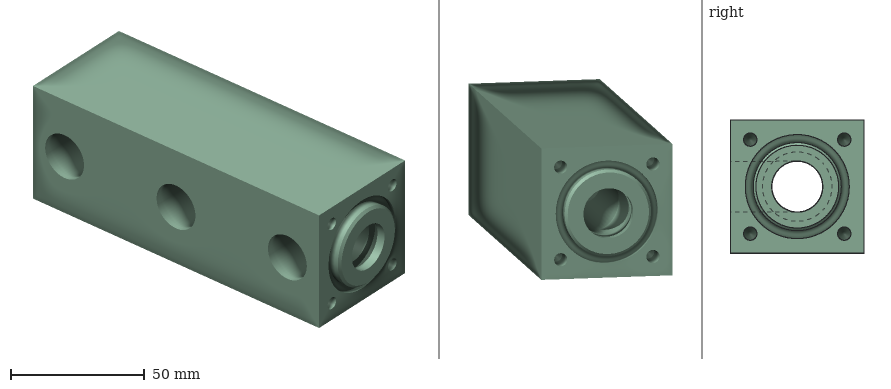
import cadquery as cq
import math

block_length = 140.0
block_side = 50.0

bore_diameter = 19.0
port_spacing = 54.5
port_count = 3

overall_length = 146.0
collar_diameter = 33.0
collar_chamfer = 1.0
recess_diameter = 39.0
recess_depth = 2.0

mouth_length = 3.5
chamber_end = 7.5
chamber_diameter = 26.0

screw_spacing = 35.2
screw_diameter = 5.0
screw_depth = 10.0
screw_point_angle = 118.0

half_overall = overall_length / 2
half_block = block_length / 2


def cylinder_along_x(x_start, x_end, diameter):
    """Solid cylinder on the X axis between two X positions."""
    return cq.Workplane("YZ", origin=(x_start, 0, 0)).circle(diameter / 2).extrude(x_end - x_start)


def make_block():
    return cq.Workplane("XY").box(block_length, block_side, block_side)


def make_collar():
    """Collar of the -X end, with its sloped outer rim, rising from the recess floor."""
    radius = collar_diameter / 2
    root_x = -half_block + recess_depth
    tip_x = -half_overall
    profile = (
        cq.Workplane("XY")
        .moveTo(root_x, 0)
        .lineTo(root_x, radius)
        .lineTo(tip_x + collar_chamfer, radius)
        .lineTo(tip_x, radius - collar_chamfer)
        .lineTo(tip_x, 0)
        .close()
    )
    return profile.revolve(360, (0, 0, 0), (1, 0, 0))


def make_recess():
    return cylinder_along_x(-half_block, -half_block + recess_depth, recess_diameter)


def make_chamber():
    return cylinder_along_x(-half_overall + mouth_length, -half_overall + chamber_end, chamber_diameter)


def make_screw_holes():
    """Four drilled holes of the -X end, each closed by the cone of the drill point."""
    radius = screw_diameter / 2
    point_length = radius / math.tan(math.radians(screw_point_angle / 2))
    shoulder_x = -half_block + screw_depth
    drill = (
        cq.Workplane("XY")
        .moveTo(-half_block, 0)
        .lineTo(-half_block, radius)
        .lineTo(shoulder_x, radius)
        .lineTo(shoulder_x + point_length, 0)
        .close()
        .revolve(360, (0, 0, 0), (1, 0, 0))
    )
    offset = screw_spacing / 2
    holes = cq.Workplane("XY")
    for y in (-offset, offset):
        for z in (-offset, offset):
            holes = holes.add(drill.translate((0, y, z)))
    return holes.combine()


def make_ports():
    """Ports running from the -Y face to the axis of the bore."""
    return (
        cq.Workplane("XZ")
        .rarray(port_spacing, 1, port_count, 1)
        .circle(bore_diameter / 2)
        .extrude(block_side / 2)
    )


def add_to_both_ends(body, feature):
    """Add a -X end feature and its mirror image on the +X end."""
    return body.union(feature).union(feature.mirror("YZ"))


def cut_from_both_ends(body, feature):
    """Cut a -X end feature and its mirror image on the +X end."""
    return body.cut(feature).cut(feature.mirror("YZ"))


body = make_block()
body = cut_from_both_ends(body, make_recess())
body = add_to_both_ends(body, make_collar())
body = cut_from_both_ends(body, make_chamber())
body = cut_from_both_ends(body, make_screw_holes())

main_bore = cylinder_along_x(-half_overall, half_overall, bore_diameter)
result = body.cut(main_bore).cut(make_ports())